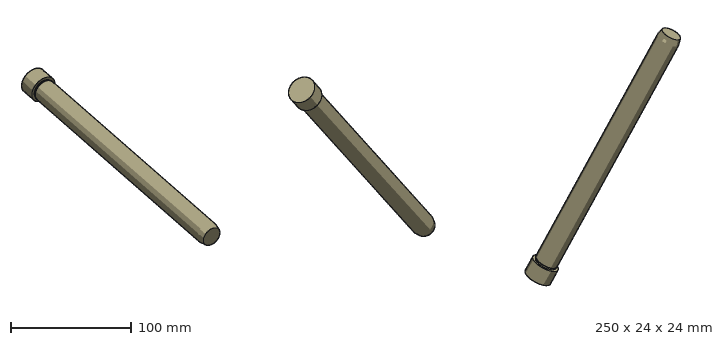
import cadquery as cq

total_length = 250.0
head_diameter = 24.0
head_length = 14.5
shank_diameter = 20.0
neck_diameter = 19.0
neck_length = 1.5
tip_diameter = 17.2
tip_length = 6.0

shank_start = head_length + neck_length
tip_start = total_length - tip_length


def cylinder(start, length, diameter):
    """Solid cylinder along +X from the given start."""
    return cq.Workplane("YZ", origin=(start, 0, 0)).circle(diameter / 2).extrude(length)


def tapered_tip():
    """Lead-in cone that narrows from the shank to the end face."""
    return (
        cq.Workplane("YZ", origin=(tip_start, 0, 0))
        .circle(shank_diameter / 2)
        .workplane(offset=tip_length)
        .circle(tip_diameter / 2)
        .loft(ruled=True)
    )


head = cylinder(0, head_length, head_diameter)
neck = cylinder(head_length, neck_length, neck_diameter)
shank = cylinder(shank_start, tip_start - shank_start, shank_diameter)

result = head.union(neck).union(shank).union(tapered_tip())